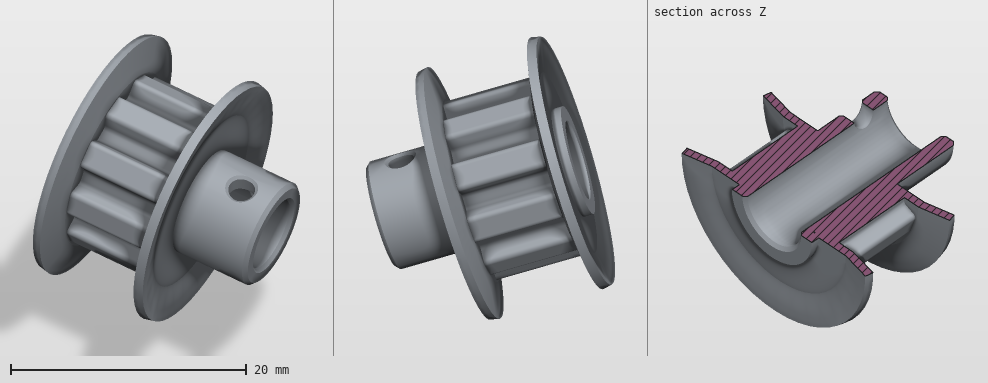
import cadquery as cq
import math


length = 17.47
hub_radius = 4.75
hub_end_chamfer = 0.35
bore_radius = 3.18
bore_chamfer = 0.31

flange_radius = 11.12
bend_radius = 8.07
flange_thickness = 0.82
flange_cone_angle = math.radians(12.3)
belt_start = 1.67
belt_width = 7.85
belt_middle = belt_start + belt_width / 2

tooth_count = 10
tooth_flat_distance = 7.82
groove_floor_radius = 6.38
groove_floor_width = 1.27
groove_half_angle = math.radians(25)
groove_floor_fillet = 0.4
tooth_tip_fillet = 0.42

screw_hole_x = 14.32
screw_hole_radius = 1.13
screw_hole_chamfer = 0.27

seam_turn = 225.0
tolerance = 0.002


def full_length_cylinder(radius):
    return cq.Workplane("YZ").circle(radius).extrude(length)


def make_hub():
    hub = full_length_cylinder(hub_radius).faces(">X").edges().chamfer(hub_end_chamfer)
    return hub.rotate((0, 0, 0), (1, 0, 0), seam_turn)


def make_toothed_core():
    """Prism with one flat per tooth and a trapezoidal belt groove cut along each of its corners."""
    corner_radius = tooth_flat_distance / math.cos(math.pi / tooth_count)
    floor_half = groove_floor_width / 2
    mouth_half = floor_half + (corner_radius - groove_floor_radius) * math.tan(groove_half_angle)
    groove = (
        cq.Workplane("YZ", origin=(belt_start, 0, 0))
        .polyline([
            (groove_floor_radius, -floor_half),
            (corner_radius, -mouth_half),
            (corner_radius, mouth_half),
            (groove_floor_radius, floor_half),
        ])
        .close()
        .extrude(belt_width)
        .faces("<Y")
        .edges("|X")
        .fillet(groove_floor_fillet)
    )
    core = (
        cq.Workplane("YZ", origin=(belt_start, 0, 0))
        .polygon(tooth_count, 2 * corner_radius)
        .extrude(belt_width)
    )
    for index in range(tooth_count):
        angle = index * 360 / tooth_count
        core = core.cut(groove.rotate((0, 0, 0), (1, 0, 0), angle))

    def is_tooth_tip(edge):
        middle = edge.Center()
        return math.hypot(middle.y, middle.z) > tooth_flat_distance

    return core.edges("|X").filter(is_tooth_tip).fillet(tooth_tip_fillet)


def make_flange():
    """Flange at the plain end, dished away from the belt."""
    slope = math.tan(flange_cone_angle)
    rim_inner_x = belt_start - (flange_radius - bend_radius) * slope
    rim_outer_x = rim_inner_x - flange_thickness * math.cos(flange_cone_angle)
    rim_outer_radius = flange_radius - flange_thickness * math.sin(flange_cone_angle)
    outer_bend_radius = bend_radius - flange_thickness * math.tan(flange_cone_angle / 2)
    floor_x = belt_start - flange_thickness
    return (
        cq.Workplane("XY")
        .polyline([
            (floor_x, 0),
            (belt_start, 0),
            (belt_start, bend_radius),
            (rim_inner_x, flange_radius),
            (rim_outer_x, rim_outer_radius),
            (floor_x, outer_bend_radius),
        ])
        .close()
        .revolve(360, (0, 0, 0), (1, 0, 0))
    )


def cut_screw_holes(body):
    """Two chamfered holes at right angles, from +Z and +Y into the bore."""
    upright = (
        cq.Workplane("XY", origin=(screw_hole_x, 0, 0))
        .circle(screw_hole_radius)
        .extrude(hub_radius + screw_hole_radius)
    )
    sideways = upright.rotate((0, 0, 0), (1, 0, 0), -90)
    body = body.cut(upright).cut(sideways)

    def is_hole_mouth(edge):
        start = edge.positionAt(0)
        on_hub = abs(math.hypot(start.y, start.z) - hub_radius) < tolerance
        return on_hub and abs(start.x - screw_hole_x) < screw_hole_radius + tolerance

    return body.edges("not |X").filter(is_hole_mouth).chamfer(screw_hole_chamfer)


def cut_bore(body):
    body = body.cut(full_length_cylinder(bore_radius))
    bore_ends = body.faces("<X or >X").edges(cq.selectors.RadiusNthSelector(0))
    return bore_ends.chamfer(bore_chamfer)


flange = make_flange()
far_flange = flange.mirror("YZ", (belt_middle, 0, 0))
pulley = make_hub().union(make_toothed_core()).union(flange).union(far_flange)
result = cut_screw_holes(cut_bore(pulley))